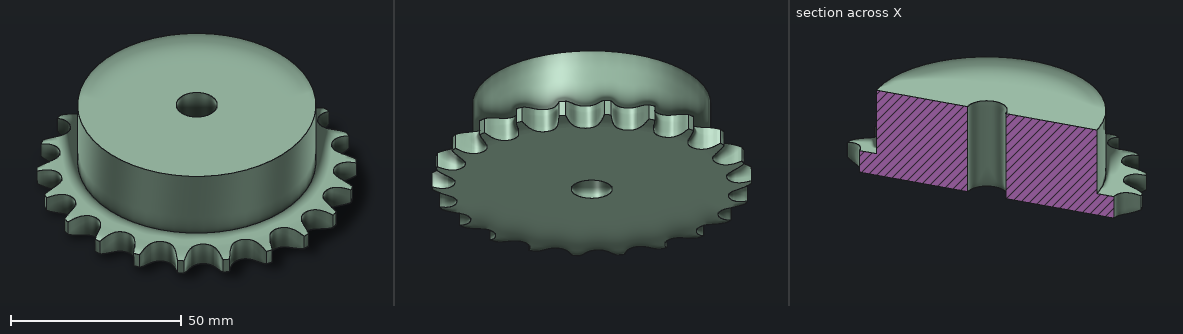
import cadquery as cq
import math

TOOTH_COUNT = 22
TIP_RADIUS = 46.9
RIM_THICKNESS = 7.2
TOTAL_HEIGHT = 28.0
HUB_DIAMETER = 70.0
BORE_DIAMETER = 12.0

BEVEL_DEPTH = 1.3
BEVEL_RADIUS = 13.0

ROLLER_DIAMETER = 8.5
PITCH_RADIUS = 44.65
TOOTH_ANGLE = 360 / TOOTH_COUNT

SEAT_RADIUS = 0.5025 * ROLLER_DIAMETER
FLANK_RADIUS = SEAT_RADIUS + 0.8 * ROLLER_DIAMETER
SEAT_END_SLOPE = 35 + 60 / TOOTH_COUNT
FLANK_SWEEP = 18 - 56 / TOOTH_COUNT
TIP_ARC_ANGLE = 17 - 64 / TOOTH_COUNT
FLANK_SLOPE = SEAT_END_SLOPE - FLANK_SWEEP
FLANK_STRAIGHT = ROLLER_DIAMETER * (
    1.4 * math.sin(math.radians(TIP_ARC_ANGLE)) - 0.8 * math.sin(math.radians(FLANK_SWEEP))
)
TIP_ARC_RADIUS = ROLLER_DIAMETER * (
    0.8 * math.cos(math.radians(FLANK_SWEEP)) + 1.4 * math.cos(math.radians(TIP_ARC_ANGLE))
) - FLANK_RADIUS
TIP_ARC_SWEEP = 20


def step(point, length, slope):
    """Move from a point by a length, at a slope in degrees from the outward X direction."""
    angle = math.radians(slope)
    return (point[0] + length * math.cos(angle), point[1] + length * math.sin(angle))


def arc_points(start, radius, start_slope, end_slope):
    """Middle and end of an arc that leaves start at one slope and finishes at another."""
    def after(sweep):
        chord = 2 * radius * math.sin(math.radians(abs(sweep)) / 2)
        return step(start, chord, start_slope + sweep / 2)

    sweep = end_slope - start_slope
    return after(sweep / 2), after(sweep)


def mirrored(point):
    return (point[0], -point[1])


def make_rim():
    """Toothless disc whose edge curves in tangentially from both faces."""
    bevel_width = math.sqrt(BEVEL_RADIUS**2 - (BEVEL_RADIUS - BEVEL_DEPTH) ** 2)
    face_radius = TIP_RADIUS - bevel_width
    bevel_angle = math.asin(bevel_width / BEVEL_RADIUS)
    middle_radius = face_radius + BEVEL_RADIUS * math.sin(bevel_angle / 2)
    middle_depth = BEVEL_RADIUS * (1 - math.cos(bevel_angle / 2))
    return (
        cq.Workplane("XZ")
        .lineTo(face_radius, 0)
        .threePointArc((middle_radius, middle_depth), (TIP_RADIUS, BEVEL_DEPTH))
        .lineTo(TIP_RADIUS, RIM_THICKNESS - BEVEL_DEPTH)
        .threePointArc((middle_radius, RIM_THICKNESS - middle_depth), (face_radius, RIM_THICKNESS))
        .lineTo(0, RIM_THICKNESS)
        .close()
        .revolve(360, (0, 0, 0), (0, 1, 0))
    )


def make_gap():
    """Cutter for one tooth gap, opening along +X."""
    root = (PITCH_RADIUS - SEAT_RADIUS, 0)
    seat_end = arc_points(root, SEAT_RADIUS, 90, SEAT_END_SLOPE)[1]
    flank_middle, flank_end = arc_points(seat_end, FLANK_RADIUS, SEAT_END_SLOPE, FLANK_SLOPE)
    straight_end = step(flank_end, FLANK_STRAIGHT, FLANK_SLOPE)
    tip_middle, tip_end = arc_points(
        straight_end, TIP_ARC_RADIUS, FLANK_SLOPE, FLANK_SLOPE + TIP_ARC_SWEEP
    )
    return (
        cq.Workplane("XY")
        .moveTo(*mirrored(tip_end))
        .threePointArc(mirrored(tip_middle), mirrored(straight_end))
        .lineTo(*mirrored(flank_end))
        .threePointArc(mirrored(flank_middle), mirrored(seat_end))
        .threePointArc(root, seat_end)
        .threePointArc(flank_middle, flank_end)
        .lineTo(*straight_end)
        .threePointArc(tip_middle, tip_end)
        .close()
        .extrude(RIM_THICKNESS)
    )


sprocket = make_rim()
gap = make_gap()
for index in range(TOOTH_COUNT):
    sprocket = sprocket.cut(gap.rotate((0, 0, 0), (0, 0, 1), (index + 0.5) * TOOTH_ANGLE))

hub = cq.Workplane("XY").circle(HUB_DIAMETER / 2).extrude(TOTAL_HEIGHT)
bore = cq.Workplane("XY").circle(BORE_DIAMETER / 2).extrude(TOTAL_HEIGHT)
result = sprocket.union(hub).cut(bore)